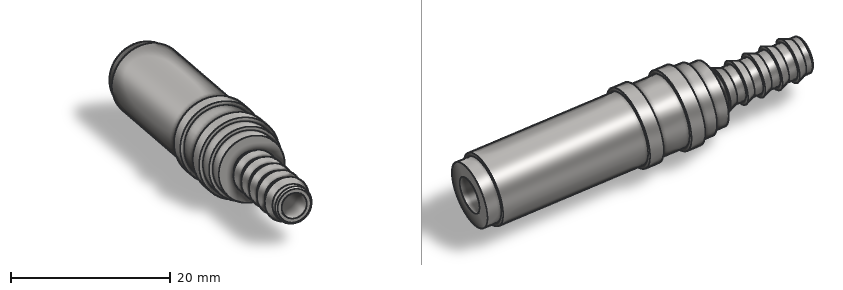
import cadquery as cq

length = 48.5

collar_dia = 11.0
body_dia = 10.0
end_land_dia = 9.0
stem_dia = 5.0
barb_dia = 6.0

land_length = 2.0
body_end = 33.0
shoulder_end = body_end + land_length
collar_width = 2.0
collar_starts = (23.0, 29.0)

barb_count = 5
first_barb = 36.15
last_barb = 46.1
barb_pitch = (last_barb - first_barb) / (barb_count - 1)
barb_length = barb_pitch / 2
tip_chamfer = 0.25

socket_dia = 5.0
socket_depth = body_end
bore_dia = 3.45


def cylinder(start, end, diameter):
    """Solid cylinder on the X axis between two X positions."""
    return cq.Workplane("YZ", origin=(start, 0, 0)).circle(diameter / 2).extrude(end - start)


def barb(start):
    """Ring with a square back face that tapers down to the stem towards the tip."""
    profile = [
        (start, 0),
        (start, barb_dia / 2),
        (start + barb_length, stem_dia / 2),
        (start + barb_length, 0),
    ]
    return cq.Workplane("XY").polyline(profile).close().revolve(360, (0, 0, 0), (1, 0, 0))


connector = cylinder(0, shoulder_end, end_land_dia)
connector = connector.union(cylinder(land_length, body_end, body_dia))

for collar_start in collar_starts:
    connector = connector.union(cylinder(collar_start, collar_start + collar_width, collar_dia))

stem = cylinder(body_end, length, stem_dia).faces(">X").chamfer(tip_chamfer)
connector = connector.union(stem)
for index in range(barb_count):
    connector = connector.union(barb(first_barb + index * barb_pitch))

connector = connector.cut(cylinder(0, socket_depth, socket_dia))
result = connector.cut(cylinder(0, length, bore_dia))